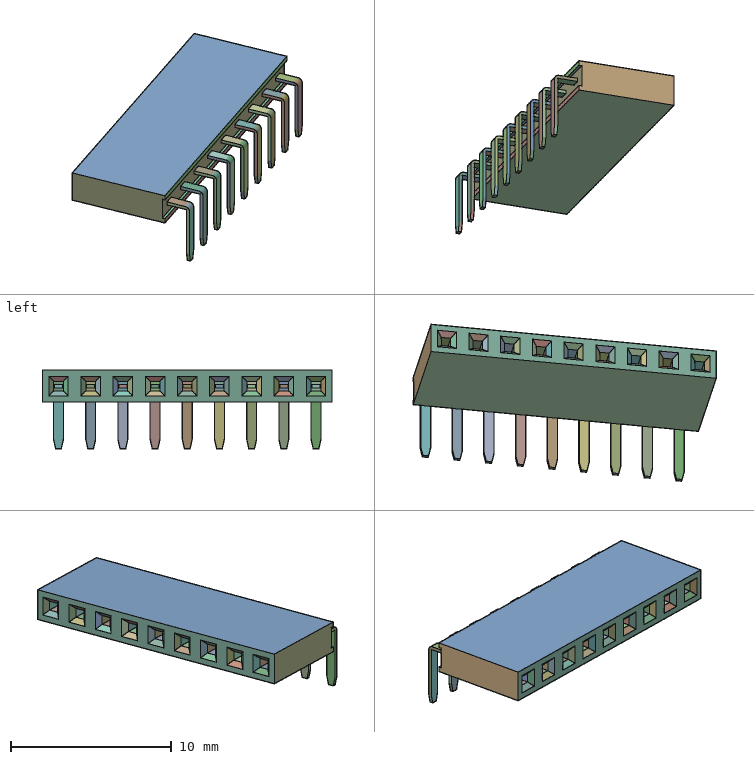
import cadquery as cq


pin_count = 9
row_length = 18.0
pitch = row_length / pin_count
housing_depth = 6.35
housing_height = pitch

groove_depth = 0.18
groove_height = 1.37

funnel_mouth = 1.2
funnel_depth = 0.3
hole_side = 0.6
hole_end = 4.0

contact_width = 0.5
contact_length = 0.6

overall_depth = 7.72
overall_height = 4.9
pin_width = 0.63
pin_thickness = 0.22
bend_outer_radius = 0.3
tip_width = 0.36
tip_length = 0.6

rear_wall = housing_depth - groove_depth
pin_bottom = housing_height / 2 - overall_height
row_positions = [(i - (pin_count - 1) / 2) * pitch for i in range(pin_count)]


def make_housing():
    """Rectangular block with the groove cut along its rear face."""
    block = cq.Workplane("XY").box(
        housing_depth, row_length, housing_height, centered=(False, True, True)
    )
    groove = (
        cq.Workplane("XY")
        .box(groove_depth, row_length, groove_height, centered=(False, True, True))
        .translate((rear_wall, 0, 0))
    )
    return block.cut(groove)


def make_socket():
    """Cavity to remove for one socket, leaving its contact stub in place."""
    funnel = (
        cq.Workplane("YZ")
        .rect(funnel_mouth, funnel_mouth)
        .workplane(offset=funnel_depth)
        .rect(hole_side, hole_side)
        .loft(ruled=True)
    )
    hole = (
        cq.Workplane("YZ", origin=(funnel_depth, 0, 0))
        .rect(hole_side, hole_side)
        .extrude(hole_end - funnel_depth)
    )
    contact = (
        cq.Workplane("YZ", origin=(hole_end - contact_length, 0, 0))
        .rect(contact_width, pin_thickness)
        .extrude(contact_length)
    )
    return funnel.union(hole).cut(contact)


def make_pin():
    """L-shaped pin starting inside the housing, with a tapered lower tip."""
    half_width = pin_width / 2
    half_tip = tip_width / 2
    shoulder = pin_bottom + tip_length
    top = pin_thickness / 2
    inner_x = overall_depth - pin_thickness
    bent_strip = (
        cq.Workplane("XZ")
        .moveTo(hole_end, top)
        .lineTo(overall_depth - bend_outer_radius, top)
        .radiusArc((overall_depth, top - bend_outer_radius), bend_outer_radius)
        .lineTo(overall_depth, pin_bottom)
        .lineTo(inner_x, pin_bottom)
        .lineTo(inner_x, -top)
        .lineTo(hole_end, -top)
        .close()
        .extrude(half_width, both=True)
    )
    front_outline = (
        cq.Workplane("YZ")
        .polyline([
            (-half_width, top),
            (half_width, top),
            (half_width, shoulder),
            (half_tip, pin_bottom),
            (-half_tip, pin_bottom),
            (-half_width, shoulder),
        ])
        .close()
        .extrude(overall_depth)
    )
    return bent_strip.intersect(front_outline)


result = make_housing()
socket = make_socket()
pin = make_pin()
for y in row_positions:
    result = result.cut(socket.translate((0, y, 0)))
    result = result.union(pin.translate((0, y, 0)))